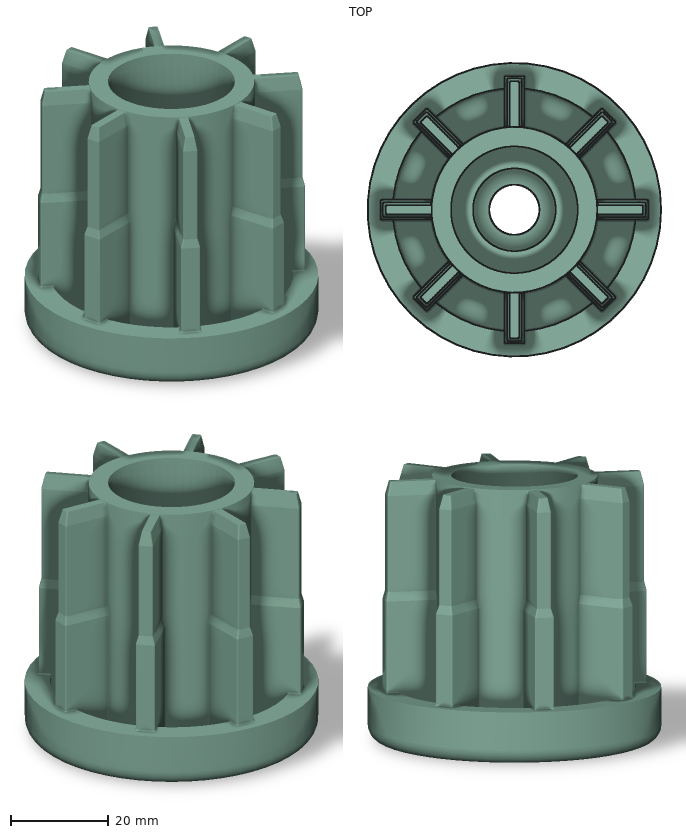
import cadquery as cq
import math

flange_radius = 30.15
flange_height = 11.0
flange_bottom_fillet = 3.0

total_height = 55.0
tube_radius = 17.0
groove_radius = 24.95
groove_floor_z = 4.95

bore_radius = 13.0
recess_radius = 8.5
hole_radius = 5.1
bore_floor_z = flange_height
recess_floor_z = groove_floor_z

rib_count = 8
rib_lower_reach = 27.45
rib_upper_reach = 27.0
rib_top_reach = 26.35
rib_lower_width = 4.05
rib_upper_width = 3.0
rib_top_width = 1.9
rib_top_z = 54.9
rib_step_start_z = 30.1
rib_step_end_z = 31.95
rib_bevel_start_z = 52.0
rib_corner_radius = 0.3
root_fillet = 0.3

tolerance = 0.005


def make_core():
    """Flange with its ring groove, and the solid tube standing in the middle."""
    flange = cq.Workplane("XY").circle(flange_radius).extrude(flange_height)
    flange = flange.faces("<Z").edges().fillet(flange_bottom_fillet)
    groove = (
        cq.Workplane("XY")
        .workplane(offset=groove_floor_z)
        .circle(groove_radius)
        .extrude(flange_height - groove_floor_z)
    )
    tube = cq.Workplane("XY").circle(tube_radius).extrude(total_height)
    return flange.cut(groove).union(tube)


def rib_section(reach, width, z):
    """Round-cornered outline of a pair of opposite ribs at height z."""
    outline = cq.Sketch().rect(2 * reach, width).vertices().fillet(rib_corner_radius)
    return outline.moved(cq.Location(cq.Vector(0, 0, z)))


def rib_stage(lower, upper):
    """Straight-sided body between two rib sections."""
    return cq.Workplane("XY").placeSketch(rib_section(*lower), rib_section(*upper)).loft(ruled=True)


def make_rib_pair():
    """Two opposite ribs, joined through the axis and sitting in the groove floor."""
    levels = [
        (rib_lower_reach, rib_lower_width, groove_floor_z),
        (rib_lower_reach, rib_lower_width, rib_step_start_z),
        (rib_upper_reach, rib_upper_width, rib_step_end_z),
        (rib_upper_reach, rib_upper_width, rib_bevel_start_z),
        (rib_top_reach, rib_top_width, rib_top_z),
    ]
    pair = rib_stage(levels[0], levels[1])
    for lower, upper in zip(levels[1:-1], levels[2:]):
        pair = pair.union(rib_stage(lower, upper))
    return pair


def is_root_edge(edge):
    """True for the inner corners where the ribs, the tube and the groove meet."""
    middle = edge.positionAt(0.5)
    box = edge.BoundingBox()
    radius = math.hypot(middle.x, middle.y)
    on_groove_wall = abs(radius - groove_radius) < tolerance
    on_tube = abs(radius - tube_radius) < tolerance
    at_flange_top = box.zmin > flange_height - tolerance and box.zmax < flange_height + tolerance
    in_groove = box.zmin > groove_floor_z - tolerance and box.zmax < flange_height - tolerance
    if at_flange_top:
        return not on_groove_wall and radius < flange_radius - tolerance
    if on_tube:
        return box.zmin < rib_top_z - tolerance
    upright = box.zmax - box.zmin > tolerance
    if upright:
        return on_groove_wall and box.zmax < flange_height + tolerance
    return in_groove


def round_roots(body):
    """Fillet every inner corner at the foot of the ribs and the tube."""
    edges = [edge for edge in body.edges().vals() if is_root_edge(edge)]
    return body.newObject(edges).fillet(root_fillet)


def cut_stepped_hole(body):
    """Wide bore, smaller recess below it and a hole through the bottom."""
    steps = [(bore_radius, bore_floor_z), (recess_radius, recess_floor_z), (hole_radius, 0)]
    for radius, floor_z in steps:
        depth = total_height - floor_z
        cutter = cq.Workplane("XY").workplane(offset=floor_z).circle(radius).extrude(depth)
        body = body.cut(cutter)
    return body


plug = make_core()
rib_pair = make_rib_pair()
for index in range(rib_count // 2):
    angle = index * 360 / rib_count
    plug = plug.union(rib_pair.rotate((0, 0, 0), (0, 0, 1), angle))

result = cut_stepped_hole(round_roots(plug))